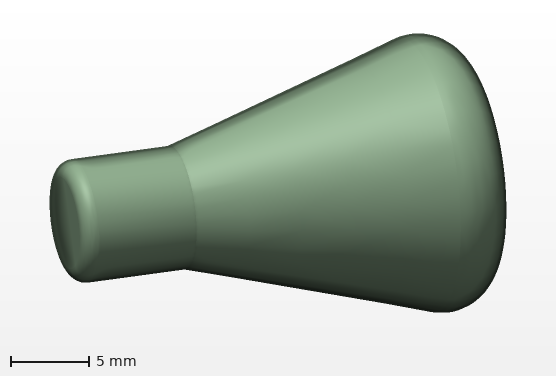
import cadquery as cq
import math

length = 27.5
head_diameter = 17.93
shank_diameter = 7.95
shank_length = 7.5
rim_radius = 3.0
tip_radius = 1.0

head_radius = head_diameter / 2
shank_radius = shank_diameter / 2

rim_x = head_radius - rim_radius
rim_y = length - rim_radius

run_x = rim_x - shank_radius
run_y = rim_y - shank_length
center_distance = math.hypot(run_x, run_y)
cone_angle = math.atan2(run_x, run_y) + math.asin(rim_radius / center_distance)


def rim_point(angle):
    """Point on the rim arc, with the angle measured from the outward radial direction."""
    return (
        rim_x + rim_radius * math.cos(angle),
        rim_y + rim_radius * math.sin(angle),
    )


tip_mid_offset = tip_radius * (1 - math.sqrt(0.5))
profile = (
    cq.Workplane("XY")
    .moveTo(0, 0)
    .lineTo(shank_radius - tip_radius, 0)
    .threePointArc((shank_radius - tip_mid_offset, tip_mid_offset), (shank_radius, tip_radius))
    .lineTo(shank_radius, shank_length)
    .lineTo(*rim_point(-cone_angle))
    .threePointArc(rim_point(0), (rim_x, length))
    .lineTo(0, length)
    .close()
)

result = profile.revolve(360, (0, 0, 0), (0, 1, 0))